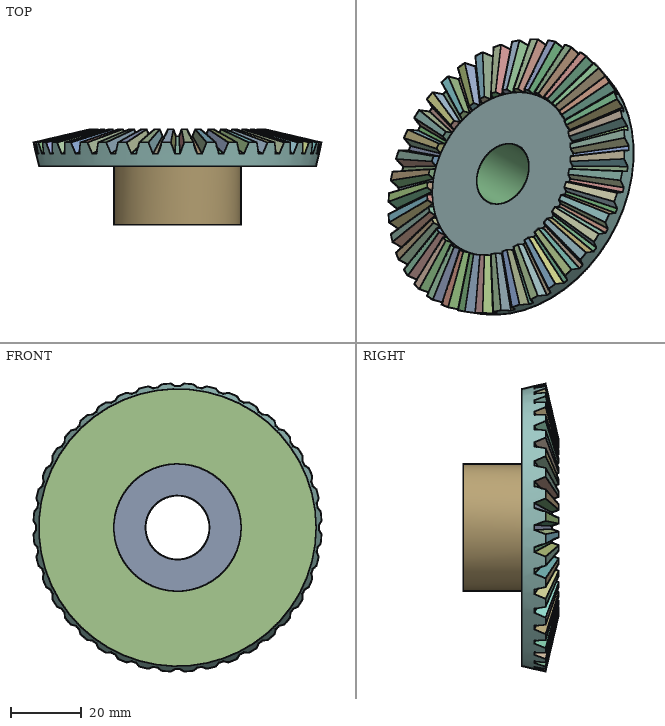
import cadquery as cq
import math


outer_span = 81.4
back_radius = 39.2
rim_height = 6.75
crest_height = 10.5
hub_length = 16.5
hub_diameter = 36.0
bore_diameter = hub_diameter / 2

tooth_count = 40
apex_height = 16.3
root_height = 3.6
gap_tip_width = 3.6
gap_root_width = 1.4

tip_radius = math.hypot(outer_span / 2, gap_tip_width / 2)
tip_slope = (apex_height - rim_height) / tip_radius
crest_radius = (apex_height - crest_height) / tip_slope
end_slope = (tip_radius - back_radius) / rim_height

root_radius = back_radius + end_slope * root_height
root_slope = (apex_height - root_height) / root_radius
floor_radius = root_radius * crest_radius / tip_radius
floor_height = apex_height - root_slope * floor_radius

cutter_inner_size = 0.75 * crest_radius / tip_radius
cutter_outer_size = 1.1
gap_overcut = 2.0


def make_blank():
    """Wheel and hub as one turned body, with the bore left open."""
    profile = [
        (bore_diameter / 2, -hub_length),
        (hub_diameter / 2, -hub_length),
        (hub_diameter / 2, 0),
        (back_radius, 0),
        (tip_radius, rim_height),
        (crest_radius, crest_height),
        (floor_radius, floor_height),
        (bore_diameter / 2, floor_height),
    ]
    return cq.Workplane("XY").polyline(profile).close().revolve(360, (0, 0, 0), (0, 1, 0))


def gap_section(size):
    """Gap outline at a given size relative to the rim, shrinking towards the apex."""
    gap_depth = rim_height - root_height
    root_half = gap_root_width / 2
    tip_half = gap_tip_width / 2
    top_half = root_half + gap_overcut * (tip_half - root_half)
    root_y = root_height - apex_height
    top_y = root_y + gap_overcut * gap_depth
    corners = [
        (-root_half, root_y),
        (root_half, root_y),
        (top_half, top_y),
        (-top_half, top_y),
    ]
    points = [cq.Vector(x * size, apex_height + y * size, root_radius * size) for x, y in corners]
    return cq.Wire.makePolygon(points, close=True)


def make_gap():
    """Tapered cutter for the gap on the +Z side, overrunning both tooth ends."""
    return cq.Solid.makeLoft([gap_section(cutter_inner_size), gap_section(cutter_outer_size)], True)


def cut_gaps(blank):
    """Blank with the gaps spaced evenly around the Y axis."""
    gap = make_gap()
    pitch_angle = 360 / tooth_count
    axis_start = cq.Vector(0, 0, 0)
    axis_end = cq.Vector(0, 1, 0)
    gaps = [gap.rotate(axis_start, axis_end, i * pitch_angle) for i in range(tooth_count)]
    return blank.cut(*gaps)


result = cq.Workplane(obj=cut_gaps(make_blank().val()))